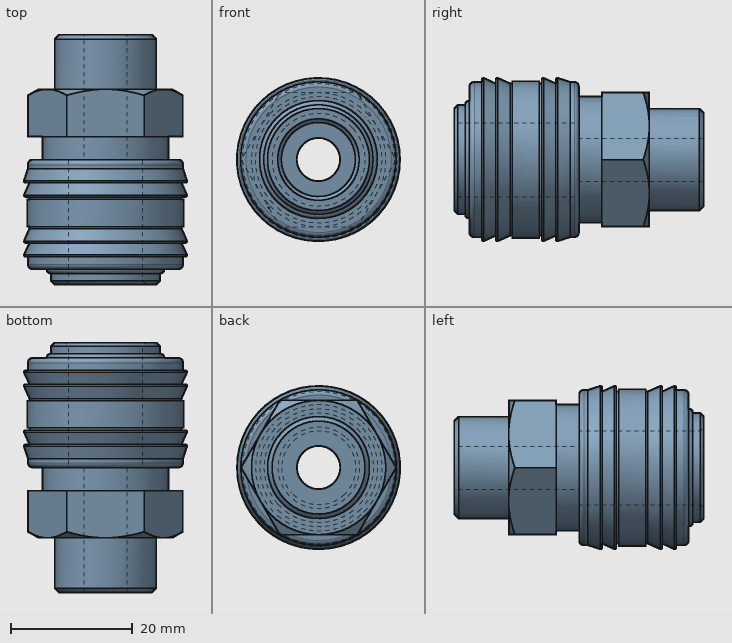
import cadquery as cq
import math

total_length = 41.0
collar_start = 1.8
sleeve_start = 2.5
sleeve_end = 20.5
hex_start = 24.27
hex_end = 32.02
band_start = 9.5
band_end = 14.0
rib_tip_radius = 13.4
rib_round = 0.33
sleeve_radius = 12.75
groove_radius = 12.5
grip_ribs = [
    (4.55, 6.8, groove_radius),
    (6.8, 9.2, groove_radius),
    (14.35, 16.7, groove_radius),
    (16.7, 19.02, sleeve_radius),
]

mouth_radius = 8.98
mouth_chamfer = 0.6
collar_radius = mouth_radius + sleeve_start - collar_start
sleeve_fillet = 0.8
band_radius = 12.87
neck_radius = 10.37
spigot_radius = 8.35
spigot_chamfer = 0.75
hex_across_flats = 22.0
hex_chamfer_angle = 30.0
bore_radius = 3.53
socket_radius = 6.05
socket_chamfer = 0.6
socket_depth = sleeve_end


def cylinder(radius, start, end):
    """Solid cylinder about the Y axis between two axial positions."""
    plane = cq.Workplane("XZ", origin=(0, start, 0))
    return plane.circle(radius).extrude(start - end)


def grip_rib(start, end, base_radius):
    """Sawtooth ring with a rounded front edge and a tapered back."""
    profile = (
        cq.Workplane("XY")
        .moveTo(0, start)
        .lineTo(rib_tip_radius - rib_round, start)
        .radiusArc((rib_tip_radius, start + rib_round), -rib_round)
        .lineTo(base_radius, end)
        .lineTo(0, end)
        .close()
    )
    return profile.revolve(360, (0, 0, 0), (0, 1, 0))


def sleeve():
    """Grip sleeve: rounded end rings, a grooved core, a middle band and four ribs."""
    first_rib_start = grip_ribs[0][0]
    last_rib_end = grip_ribs[-1][1]
    front_ring = cylinder(sleeve_radius, sleeve_start, first_rib_start)
    front_ring = front_ring.faces("<Y").edges().fillet(sleeve_fillet)
    rear_ring = cylinder(sleeve_radius, last_rib_end, sleeve_end)
    rear_ring = rear_ring.faces(">Y").edges().fillet(sleeve_fillet)
    body = cylinder(groove_radius, first_rib_start, last_rib_end).union(front_ring).union(rear_ring)
    body = body.union(cylinder(band_radius, band_start, band_end))
    for start, end, base_radius in grip_ribs:
        body = body.union(grip_rib(start, end, base_radius))
    return body


def mouth():
    """Chamfered front tube with a quarter-round collar against the sleeve."""
    tube = cylinder(mouth_radius, 0, sleeve_start).faces("<Y").chamfer(mouth_chamfer)
    collar = (
        cq.Workplane("XY")
        .moveTo(0, collar_start)
        .lineTo(mouth_radius, collar_start)
        .radiusArc((collar_radius, sleeve_start), -(collar_radius - mouth_radius))
        .lineTo(0, sleeve_start)
        .close()
        .revolve(360, (0, 0, 0), (0, 1, 0))
    )
    return tube.union(collar)


def hex_nut():
    """Hexagon with corners on X, its rear corners trimmed by a cone."""
    flat_radius = hex_across_flats / 2
    corner_radius = flat_radius / math.cos(math.radians(30))
    slope = math.tan(math.radians(hex_chamfer_angle))
    cone_base_radius = flat_radius + (hex_end - hex_start) / slope
    prism = (
        cq.Workplane("XZ", origin=(0, hex_start, 0))
        .polygon(6, 2 * corner_radius)
        .extrude(hex_start - hex_end)
    )
    cone = (
        cq.Workplane("XY")
        .moveTo(0, hex_start)
        .lineTo(cone_base_radius, hex_start)
        .lineTo(flat_radius, hex_end)
        .lineTo(0, hex_end)
        .close()
        .revolve(360, (0, 0, 0), (0, 1, 0))
    )
    return prism.intersect(cone)


def passage():
    """Through bore opened at the front into a socket with a chamfered mouth."""
    profile = (
        cq.Workplane("XY")
        .lineTo(socket_radius + socket_chamfer, 0)
        .lineTo(socket_radius, socket_chamfer)
        .lineTo(socket_radius, socket_depth)
        .lineTo(bore_radius, socket_depth)
        .lineTo(bore_radius, total_length)
        .lineTo(0, total_length)
        .close()
    )
    return profile.revolve(360, (0, 0, 0), (0, 1, 0))


neck = cylinder(neck_radius, sleeve_end, hex_start)
spigot = cylinder(spigot_radius, hex_end, total_length).faces(">Y").chamfer(spigot_chamfer)
result = mouth().union(sleeve()).union(neck).union(hex_nut()).union(spigot).cut(passage())